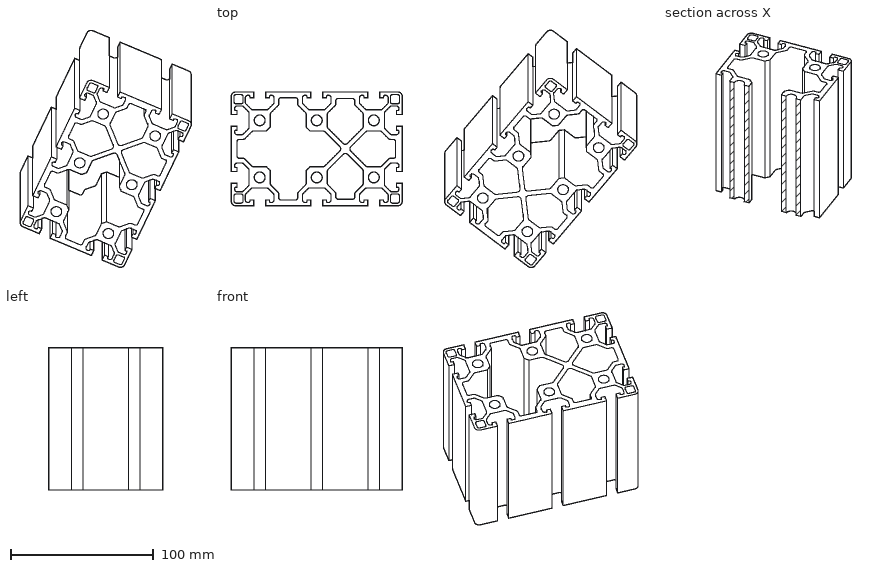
import cadquery as cq
import math

length_x = 120.0
modules_x = 3
modules_y = 2
pitch = length_x / modules_x
length_y = modules_y * pitch
height = 100.0
corner_radius = 3.4

hub_size = 15.0
hub_half = hub_size / 2
bore_diameter = 7.5
hub_chamfer = 2.8

slot_opening_half = 4.1
slot_lip = 4.2
slot_hook_half = 7.0
slot_undercut_depth = 2.5
slot_half = 10.0
slot_knee_depth = 8.2
slot_depth = pitch / 2 - hub_half
slot_floor_half = slot_half - (slot_depth - slot_knee_depth)
hook_inner_radius = 0.7
hook_outer_radius = 1.5
slot_bend_radius = 1.2

corner_hollow_start = 2.0
corner_hollow_size = 6.2
corner_hollow_radius = 1.2

slot_wall = 3.5
cavity_half = pitch / 2 - slot_half - slot_wall
cavity_knee_depth = 9.1
open_cavity_skin = 4.2
closed_cavity_skin = 4.8
cavity_corner_radius = 1.5
cavity_bend_radius = 1.8

web_thickness = 3.4
web_offset = web_thickness / math.sqrt(2)
web_tip_radius = 2.3

hub_gap = pitch / 2 - hub_half
cavity_knee = pitch - cavity_knee_depth
cavity_flare = cavity_knee - (hub_gap - cavity_half)


def rounded_prism(corners):
    """Extrude a closed polygon of (x, y, radius) corners; radius 0 stays sharp."""
    stretches = []
    count = len(corners)
    for i, (x, y, radius) in enumerate(corners):
        corner = cq.Vector(x, y)
        if radius == 0:
            stretches.append((corner, corner, corner))
            continue
        before = cq.Vector(*corners[i - 1][:2])
        after = cq.Vector(*corners[(i + 1) % count][:2])
        to_before = (before - corner).normalized()
        to_after = (after - corner).normalized()
        half_angle = to_before.getAngle(to_after) / 2
        tangent = radius / math.tan(half_angle)
        rise = radius / math.sin(half_angle) - radius
        middle = corner + (to_before + to_after).normalized() * rise
        stretches.append((corner + to_before * tangent, middle, corner + to_after * tangent))
    outline = cq.Workplane("XY").moveTo(*stretches[0][2].toTuple()[:2])
    for start, middle, end in stretches[1:] + stretches[:1]:
        outline = outline.lineTo(*start.toTuple()[:2])
        if start is not end:
            outline = outline.threePointArc(middle.toTuple()[:2], end.toTuple()[:2])
    return outline.close().extrude(height)


def mirrored(half):
    """Complete a half outline (x > 0) with its mirror image across the Y axis."""
    return half + [(-x, y, radius) for x, y, radius in reversed(half)]


def turned(corners, quarter_turns):
    """Rotate corners about the origin by exact quarter turns, counterclockwise."""
    for _ in range(quarter_turns):
        corners = [(-y, x, radius) for x, y, radius in corners]
    return corners


def slot():
    """T-slot opening towards -Y with the outer face on the X axis."""
    half = [
        (slot_opening_half, 0, 0),
        (slot_opening_half, slot_lip, 0),
        (slot_hook_half, slot_lip, 0),
        (slot_hook_half, slot_undercut_depth, hook_inner_radius),
        (slot_half, slot_undercut_depth, hook_outer_radius),
        (slot_half, slot_knee_depth, slot_bend_radius),
        (slot_floor_half, slot_depth, slot_bend_radius),
    ]
    return rounded_prism(mirrored(half))


def cavity_end(skin):
    """Half outline (x > 0) of a cavity's +Y end, from its hub flank out to the outer skin."""
    return [
        (hub_gap, cavity_flare, cavity_bend_radius),
        (cavity_half, cavity_knee, cavity_bend_radius),
        (cavity_half, pitch - skin, cavity_corner_radius),
    ]


def closed_cavity():
    """Cavity pointing to +Y whose inner end is a tip of the diagonal cross."""
    half = [(hub_gap, hub_gap + web_offset, cavity_bend_radius)] + cavity_end(closed_cavity_skin)
    return rounded_prism(mirrored(half) + [(0, web_offset, web_tip_radius)])


def open_cavity():
    """Large cavity around four hubs, its +X arm ending in a tip of the cross."""
    arm = mirrored(cavity_end(open_cavity_skin))
    hub_corner = [
        (-hub_gap, hub_gap + hub_chamfer, 0),
        (-hub_gap - hub_chamfer, hub_gap, 0),
    ]
    web_root = pitch - hub_gap - web_offset
    corners = turned(hub_corner, 3)
    for quarter_turns in range(3):
        corners += turned(arm + hub_corner, quarter_turns)
    corners += [
        (web_root, -hub_gap, cavity_bend_radius),
        (pitch - web_offset, 0, web_tip_radius),
        (web_root, hub_gap, cavity_bend_radius),
    ]
    return rounded_prism(corners)


body = cq.Workplane("XY").box(length_x, length_y, height, centered=(True, True, False))
body = body.edges("|Z").fillet(corner_radius)

columns = [(i - (modules_x - 1) / 2) * pitch for i in range(modules_x)]
rows = [(i - (modules_y - 1) / 2) * pitch for i in range(modules_y)]

hubs = [(x, y) for x in columns for y in rows]
body = body.cut(cq.Workplane("XY").pushPoints(hubs).circle(bore_diameter / 2).extrude(height))

for x in columns:
    front_slot = slot().translate((x, -length_y / 2, 0))
    body = body.cut(front_slot).cut(front_slot.mirror("XZ"))
for y in rows:
    side_slot = slot().rotate((0, 0, 0), (0, 0, 1), -90).translate((-length_x / 2, y, 0))
    body = body.cut(side_slot).cut(side_slot.mirror("YZ"))

hollow_center = corner_hollow_start + corner_hollow_size / 2
hollows = (
    cq.Workplane("XY")
    .rect(length_x - 2 * hollow_center, length_y - 2 * hollow_center, forConstruction=True)
    .vertices()
    .rect(corner_hollow_size, corner_hollow_size)
    .extrude(height)
    .edges("|Z")
    .fillet(corner_hollow_radius)
)
body = body.cut(hollows)

body = body.cut(open_cavity().translate((-pitch / 2, 0, 0)))
for angle in (0, 180, 270):
    cavity = closed_cavity().rotate((0, 0, 0), (0, 0, 1), angle)
    body = body.cut(cavity.translate((pitch / 2, 0, 0)))

result = body